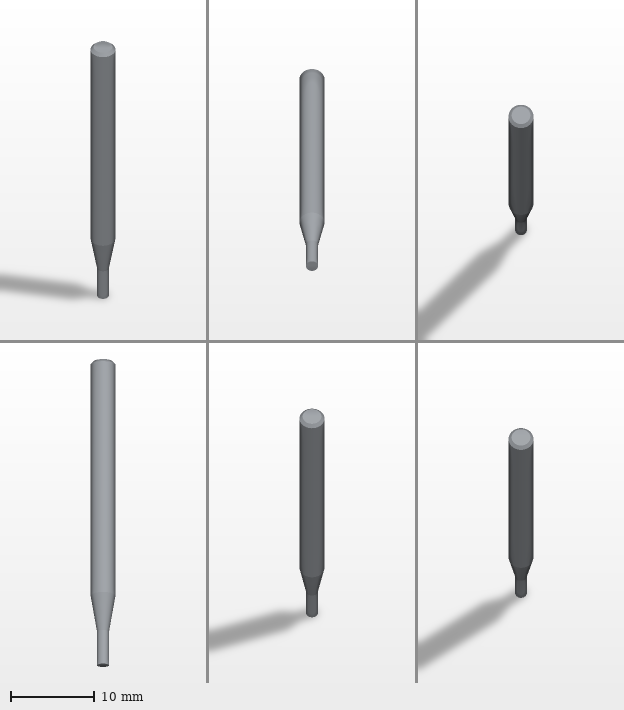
import cadquery as cq

total_length = 38.0
shank_diameter = 3.0
tip_diameter = 1.45

tip_length = 4.2
taper_length = 4.52
end_chamfer = 0.38

shank_radius = shank_diameter / 2
tip_radius = tip_diameter / 2
shank_start = tip_length + taper_length

profile = (
    cq.Workplane("XZ")
    .moveTo(0, 0)
    .lineTo(tip_radius, 0)
    .lineTo(tip_radius, tip_length)
    .lineTo(shank_radius, shank_start)
    .lineTo(shank_radius, total_length - end_chamfer)
    .lineTo(shank_radius - end_chamfer, total_length)
    .lineTo(0, total_length)
    .close()
)

result = profile.revolve(360, (0, 0, 0), (0, 1, 0))